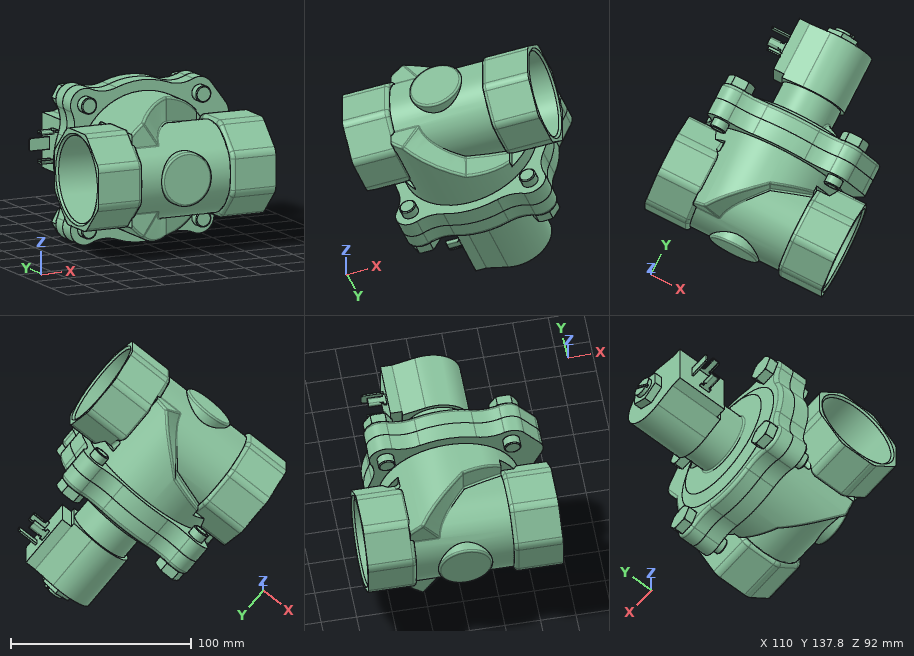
import cadquery as cq
import math


TOLERANCE = 0.04

PIPE_LENGTH = 110.0
PIPE_RADIUS = 26.2
END_FLATS = 55.1
END_INNER_X = 27.5
END_CORNER_RADIUS = 6.2
END_BACK_FILLET = 2.2
PORT_RADIUS = 24.7
PORT_CHAMFER = 1.2
PORT_DEPTH = 31.7

BOWL_RADIUS = 39.8
BOWL_BOTTOM_Y = -18.3
BOWL_LEFT_X = -29.6
BOWL_RIGHT_X = 27.5
BOWL_STEP_Y = 20.7
BOWL_FILLET = 1.2
SLOPE_PIPE_FILLET = 0.8
SLOPE_PIPE_EDGE_LENGTH = 13.8
BOWL_END_FILLET = 2.2
SLOPE_BEND_X, SLOPE_BEND_Y = 4.8, 8.3
SLOPE_END_Y = 17.1
SLOPE_LEAN = 0.7

BOSS_RADIUS = 15.3
BOSS_FILLET = 1.1

FLANGE_BOTTOM_Y = 28.4
JOINT_Y = 38.2
COVER_TOP_Y = 48.2
COVER_FILLET = 2.0
RIM_RADIUS = 46.0
LOBE_RADIUS = 9.1
LOBE_OFFSET = 35.4
WAIST_RADIUS = 20.7
EAR_CENTER = (44.5, 23.1)
EAR_BLEND_ANGLE = math.radians(5)

DOME_BASE_RADIUS = 40.0
DOME_TOP_RADIUS = 33.0
DOME_TOP_Y = 51.5
NECK_RADIUS = 18.0
NECK_TOP_Y = 68.9
TUBE_RADIUS = 3.9
TUBE_AZIMUTH = math.radians(25)
TUBE_DROP = 0.47
TUBE_START, TUBE_START_Y = 12.4, 56.2
TUBE_END = 38.6
TUBE_FILLET = 1.0

BOLT_DIAMETER = 9.4
BOLT_TIP_Y = 23.0
BOLT_HEAD_HEIGHT = 5.6
BOLT_HEAD_CORNERS = 16.7
BOLT_CHAMFER = 0.5

COIL_RADIUS = 20.3
COIL_FLANK_ANGLE = math.radians(106)
COIL_TOP_Y = 103.2
COIL_FRONT_X = -18.5
BLOCK_FRONT_X = -25.0
BLOCK_BOTTOM_Y = 71.2
GROUND_TIP_X = -37.5
GROUND_Y = 94.1
GROUND_WIDTH = 7.2
GROUND_CHAMFER = 1.0
BLADE_THICKNESS = 1.1
TERMINAL_TIP_X = -35.1
TERMINAL_Y = 85.7
TERMINAL_Z = 8.8
TERMINAL_WIDTH = 5.4
TERMINAL_ROOT_WIDTH = 6.6
TERMINAL_ROOT_LENGTH = 1.7
TERMINAL_NECK_WIDTH = 3.9
TERMINAL_NECK_LENGTH = 1.0
TERMINAL_DEPTH = 2.0
TERMINAL_CHANNEL_WIDTH = 3.5
TERMINAL_CORNER_RADIUS = 1.2

NUT_FLATS = 18.0
NUT_TOP_Y = 107.9
STEM_RADIUS = 5.9
STEM_TOP_Y = 110.2
SLOT_WIDTH = 1.7
SLOT_DEPTH = 1.1

HEX_RATIO = math.cos(math.pi / 6)


def level(y):
    """Plane at height y whose local axes are X and Z, and whose negative normal is +Y."""
    return cq.Workplane("XZ", origin=(0, y, 0))


def disc(radius, y_low, y_high):
    return level(y_low).circle(radius).extrude(y_low - y_high)


def polar(center, radius, angle):
    return (center[0] + radius * math.cos(angle), center[1] + radius * math.sin(angle))


def angle_from(center, point):
    return math.atan2(point[1] - center[1], point[0] - center[0])


def minor_arc(sketch, center, radius, start, end):
    """Continue the sketch from start to end along the shorter arc."""
    chord_middle = ((start[0] + end[0]) / 2, (start[1] + end[1]) / 2)
    middle = polar(center, radius, angle_from(center, chord_middle))
    return sketch.threePointArc(middle, end)


def flange(y_low, y_high):
    """Round plate with four bolt lobes joined by concave waists, and an ear beside one lobe."""
    origin = (0, 0)
    lobe_distance = LOBE_OFFSET * math.sqrt(2)
    waist_distance = RIM_RADIUS + WAIST_RADIUS
    waist_lobe = LOBE_RADIUS + WAIST_RADIUS
    squares = waist_distance**2 + lobe_distance**2 - waist_lobe**2
    waist_angle = math.acos(squares / (2 * waist_distance * lobe_distance))

    blend = polar(origin, RIM_RADIUS, EAR_BLEND_ANGLE)
    blend_spread = math.acos(LOBE_RADIUS / math.dist(blend, EAR_CENTER))
    ear_start = polar(EAR_CENTER, LOBE_RADIUS, angle_from(EAR_CENTER, blend) + blend_spread)
    ear_lobe = (LOBE_OFFSET, LOBE_OFFSET)
    ear_normal = angle_from(ear_lobe, EAR_CENTER) + math.pi / 2
    ear_end = polar(EAR_CENTER, LOBE_RADIUS, ear_normal)

    sketch = level(y_low).moveTo(*blend).lineTo(*ear_start)
    sketch = minor_arc(sketch, EAR_CENTER, LOBE_RADIUS, ear_start, ear_end)
    lobe_start = polar(ear_lobe, LOBE_RADIUS, ear_normal)
    sketch = sketch.lineTo(*lobe_start)
    for index in range(4):
        direction = math.pi / 4 + index * math.pi / 2
        lobe = polar(origin, lobe_distance, direction)
        if index > 0:
            waist = polar(origin, waist_distance, direction - waist_angle)
            lobe_start = polar(lobe, LOBE_RADIUS, angle_from(lobe, waist))
            sketch = minor_arc(sketch, waist, WAIST_RADIUS, rim_end, lobe_start)
        waist = polar(origin, waist_distance, direction + waist_angle)
        lobe_end = polar(lobe, LOBE_RADIUS, angle_from(lobe, waist))
        rim_start = polar(origin, RIM_RADIUS, direction + waist_angle)
        sketch = minor_arc(sketch, lobe, LOBE_RADIUS, lobe_start, lobe_end)
        sketch = minor_arc(sketch, waist, WAIST_RADIUS, lobe_end, rim_start)
        rim_end = blend if index == 3 else polar(origin, RIM_RADIUS, direction + math.pi / 2 - waist_angle)
        sketch = minor_arc(sketch, origin, RIM_RADIUS, rim_start, rim_end)
    return sketch.close().extrude(y_low - y_high)


def bolt_places():
    return [(sx * LOBE_OFFSET, sz * LOBE_OFFSET) for sx in (-1, 1) for sz in (-1, 1)]


def bolt_holes():
    holes = level(FLANGE_BOTTOM_Y).pushPoints(bolt_places()).circle(BOLT_DIAMETER / 2)
    return holes.extrude(FLANGE_BOTTOM_Y - COVER_TOP_Y)


def slope_cutter(side):
    """Space under the sloping bowl floor on one side (+1 or -1) of the XY plane.

    The slope is a ruled surface that twists from the leaning foot edge to the bend edge, which is
    parallel to Z. Its section on the XY plane is joined to one on an upright plane outside the bowl.
    """
    overshoot = 1.3
    floor_y = BOWL_BOTTOM_Y - 1.4
    end_x = BOWL_RIGHT_X + 1.4
    foot_z = overshoot * BOWL_RADIUS / math.hypot(1, SLOPE_LEAN)
    bend_z = overshoot * math.sqrt(BOWL_RADIUS**2 - SLOPE_BEND_X**2)
    foot_x = -SLOPE_LEAN * foot_z
    end_z = bend_z + (bend_z - foot_z) * (end_x - SLOPE_BEND_X) / (SLOPE_BEND_X - foot_x)

    def section(foot, bend, end):
        corners = [
            (foot[0], floor_y, foot[1]),
            (foot[0], BOWL_BOTTOM_Y, foot[1]),
            (bend[0], SLOPE_BEND_Y, bend[1]),
            (end[0], SLOPE_END_Y, end[1]),
            (end[0], floor_y, end[1]),
        ]
        return cq.Wire.makePolygon([cq.Vector(x, y, side * z) for x, y, z in corners], close=True)

    inner = section((0, 0), (SLOPE_BEND_X, 0), (end_x, 0))
    outer = section((foot_x, foot_z), (SLOPE_BEND_X, bend_z), (end_x, end_z))
    return cq.Workplane(cq.Solid.makeLoft([inner, outer], True))


def sample(edge):
    """Points near the start, at the middle and near the end of an edge."""
    return [edge.positionAt(share) for share in (0.1, 0.5, 0.9)]


def is_bowl_rim(edge):
    """Lower edges lying on the round side of the bowl."""
    points = sample(edge)
    on_side = all(abs(math.hypot(point.x, point.z) - BOWL_RADIUS) < TOLERANCE for point in points)
    below_step = points[1].y < BOWL_STEP_Y - TOLERANCE
    return on_side and below_step and edge.geomType() != "LINE"


def is_slope_crease(edge):
    """Edges at the foot and at the bend of each slope."""
    middle = edge.positionAt(0.5)
    if edge.geomType() == "LINE":
        return False
    at_foot = abs(middle.y - BOWL_BOTTOM_Y) < TOLERANCE and math.hypot(middle.x, middle.z) < BOWL_RADIUS - 1.4
    at_bend = abs(middle.y - SLOPE_BEND_Y) < TOLERANCE and abs(middle.x - SLOPE_BEND_X) < TOLERANCE
    return at_foot or at_bend


def is_slope_pipe_edge(edge):
    """Long curved edges where the slopes run into the pipe."""
    points = sample(edge)
    on_pipe = all(abs(math.hypot(point.y, point.z) - PIPE_RADIUS) < TOLERANCE for point in points)
    over_slope = points[1].x < BOWL_RIGHT_X - 1.4 and abs(points[1].z) > BOSS_RADIUS
    return on_pipe and over_slope and edge.geomType() != "LINE" and edge.Length() > SLOPE_PIPE_EDGE_LENGTH


def is_tube_edge(edge):
    """Curved edges at the foot of the neck and where the pilot tube enters it."""
    points = sample(edge)
    on_neck = all(abs(math.hypot(point.x, point.z) - NECK_RADIUS) < TOLERANCE for point in points)
    return on_neck and edge.geomType() != "LINE" and points[1].y < NECK_TOP_Y - 1.4


def make_bowl():
    bowl = disc(BOWL_RADIUS, BOWL_BOTTOM_Y, BOWL_STEP_Y)
    width = BOWL_RIGHT_X - BOWL_LEFT_X
    sides = cq.Workplane().box(width, 4 * BOWL_RADIUS, 2 * BOWL_RADIUS, centered=(False, True, True))
    bowl = bowl.intersect(sides.translate((BOWL_LEFT_X, 0, 0)))
    for side in (-1, 1):
        bowl = bowl.cut(slope_cutter(side))
    rounded = [edge for edge in bowl.edges().vals() if is_bowl_rim(edge) or is_slope_crease(edge)]
    bowl = bowl.newObject(rounded).fillet(BOWL_FILLET)
    return bowl.union(disc(BOWL_RADIUS, BOWL_STEP_Y, FLANGE_BOTTOM_Y))


def make_pipe_end(side):
    length = PIPE_LENGTH / 2 - END_INNER_X
    square = cq.Workplane("YZ").rect(END_FLATS, END_FLATS).extrude(length)
    end = square.intersect(square.rotate((0, 0, 0), (1, 0, 0), 45))
    end = end.edges("|X").fillet(END_CORNER_RADIUS)
    end = end.faces("<X").edges().fillet(END_BACK_FILLET).translate((END_INNER_X, 0, 0))
    return end if side > 0 else end.mirror("YZ")


def make_bowl_end_fillet(side):
    """Concave fillet between the left side of the bowl and an upper slanting flat of the pipe end."""
    flat_z = END_FLATS / 2
    radius = BOWL_END_FILLET
    corner = cq.Workplane("XZ", origin=(BOWL_LEFT_X, 0, flat_z)).rect(2 * radius, 2 * radius)
    corner = corner.extrude(END_FLATS / 2, both=True)
    bore = cq.Workplane("XZ", origin=(BOWL_LEFT_X - radius, 0, flat_z + radius)).circle(radius)
    corner = corner.cut(bore.extrude(END_FLATS / 2, both=True)).rotate((0, 0, 0), (1, 0, 0), -45)
    corner = corner.intersect(disc(BOWL_RADIUS, 0, BOWL_STEP_Y))
    return corner if side > 0 else corner.mirror("XY")


def make_port(side):
    port = cq.Workplane("YZ", origin=(PIPE_LENGTH / 2 - PORT_DEPTH, 0, 0)).circle(PORT_RADIUS)
    port = port.extrude(PORT_DEPTH)
    mouth = cq.Solid.makeCone(
        PORT_RADIUS, PORT_RADIUS + PORT_CHAMFER, PORT_CHAMFER,
        cq.Vector(PIPE_LENGTH / 2 - PORT_CHAMFER, 0, 0), cq.Vector(1, 0, 0),
    )
    port = port.union(cq.Workplane(mouth))
    return port if side > 0 else port.mirror("YZ")


def make_body():
    body = cq.Workplane("YZ", origin=(-END_INNER_X, 0, 0)).circle(PIPE_RADIUS).extrude(2 * END_INNER_X)
    body = body.union(make_bowl())
    boss = disc(BOSS_RADIUS, -END_FLATS / 2, 0).faces("<Y").edges().fillet(BOSS_FILLET)
    body = body.union(boss).union(flange(FLANGE_BOTTOM_Y, JOINT_Y))
    for side in (-1, 1):
        body = body.union(make_pipe_end(side))
        body = body.union(make_bowl_end_fillet(side))
    slope_pipe = [edge for edge in body.edges().vals() if is_slope_pipe_edge(edge)]
    body = body.newObject(slope_pipe).fillet(SLOPE_PIPE_FILLET)
    for side in (-1, 1):
        body = body.cut(make_port(side))
    return body.cut(bolt_holes())


def make_pilot_tube():
    across = (math.cos(TUBE_AZIMUTH), math.sin(TUBE_AZIMUTH))
    start = cq.Vector(TUBE_START * across[0], TUBE_START_Y, TUBE_START * across[1])
    run = TUBE_END - TUBE_START
    axis = cq.Vector(run * across[0], -run * TUBE_DROP, run * across[1])
    return cq.Workplane(cq.Solid.makeCylinder(TUBE_RADIUS, axis.Length, start, axis))


def make_cover():
    cover = flange(JOINT_Y, COVER_TOP_Y).faces(">Y").edges().fillet(COVER_FILLET)
    dome = cq.Solid.makeCone(
        DOME_BASE_RADIUS, DOME_TOP_RADIUS, DOME_TOP_Y - COVER_TOP_Y,
        cq.Vector(0, COVER_TOP_Y, 0), cq.Vector(0, 1, 0),
    )
    neck = disc(NECK_RADIUS, COVER_TOP_Y, NECK_TOP_Y)
    cover = cover.union(cq.Workplane(dome)).union(neck).union(make_pilot_tube())
    tube_edges = [edge for edge in cover.edges().vals() if is_tube_edge(edge)]
    cover = cover.newObject(tube_edges).fillet(TUBE_FILLET)
    return cover.cut(bolt_holes())


def make_bolt(x, z):
    head = level(COVER_TOP_Y).polygon(6, BOLT_HEAD_CORNERS).extrude(-BOLT_HEAD_HEIGHT)
    rounding = disc(BOLT_HEAD_CORNERS / 2, COVER_TOP_Y, COVER_TOP_Y + BOLT_HEAD_HEIGHT)
    head = head.intersect(rounding.faces(">Y").edges().chamfer(BOLT_CHAMFER))
    shank = disc(BOLT_DIAMETER / 2, BOLT_TIP_Y, COVER_TOP_Y).faces("<Y").edges().chamfer(BOLT_CHAMFER)
    return head.union(shank).translate((x, 0, z))


def make_terminal(side):
    """Flat blade with a wide root and a narrow neck, its long edges folded towards the XY plane."""
    root_x = BLOCK_FRONT_X - TERMINAL_ROOT_LENGTH
    fold_x = root_x - TERMINAL_NECK_LENGTH
    plate_z = TERMINAL_Z - BLADE_THICKNESS / 2
    plane = cq.Workplane("XY", origin=(0, TERMINAL_Y, plate_z))
    root = plane.rect(2 * TERMINAL_ROOT_LENGTH, TERMINAL_ROOT_WIDTH).extrude(BLADE_THICKNESS)
    root = root.translate((BLOCK_FRONT_X, 0, 0))
    neck = plane.rect(4 * TERMINAL_NECK_LENGTH, TERMINAL_NECK_WIDTH).extrude(BLADE_THICKNESS)
    neck = neck.translate((root_x, 0, 0))
    outer_z = plate_z + BLADE_THICKNESS
    section = cq.Workplane("YZ", origin=(TERMINAL_TIP_X, TERMINAL_Y, outer_z - TERMINAL_DEPTH / 2))
    fold = section.rect(TERMINAL_WIDTH, TERMINAL_DEPTH).extrude(fold_x - TERMINAL_TIP_X)
    fold = fold.edges("|X and >Z").fillet(TERMINAL_CORNER_RADIUS)
    channel = section.center(0, -BLADE_THICKNESS).rect(TERMINAL_CHANNEL_WIDTH, TERMINAL_DEPTH)
    fold = fold.cut(channel.extrude(fold_x - TERMINAL_TIP_X))
    terminal = root.union(neck).union(fold)
    return terminal if side > 0 else terminal.mirror("XY")


def make_coil():
    tangent = polar((0, 0), COIL_RADIUS, COIL_FLANK_ANGLE)
    front_z = tangent[1] - (tangent[0] - COIL_FRONT_X) / math.tan(math.pi - COIL_FLANK_ANGLE)
    winding = (
        level(NECK_TOP_Y)
        .moveTo(COIL_FRONT_X, -front_z)
        .lineTo(tangent[0], -tangent[1])
        .threePointArc((COIL_RADIUS, 0), tangent)
        .lineTo(COIL_FRONT_X, front_z)
        .close()
        .extrude(NECK_TOP_Y - COIL_TOP_Y)
    )
    block_depth = COIL_FRONT_X - BLOCK_FRONT_X
    block = level(BLOCK_BOTTOM_Y).center(BLOCK_FRONT_X + block_depth / 2, 0).rect(block_depth, 2 * front_z)
    coil = winding.union(block.extrude(BLOCK_BOTTOM_Y - COIL_TOP_Y))

    ground_length = BLOCK_FRONT_X - GROUND_TIP_X
    ground = cq.Workplane().box(ground_length, BLADE_THICKNESS, GROUND_WIDTH, centered=(False, True, True))
    ground = ground.edges("|Y and <X").chamfer(GROUND_CHAMFER)
    coil = coil.union(ground.translate((GROUND_TIP_X, GROUND_Y, 0)))
    for side in (-1, 1):
        coil = coil.union(make_terminal(side))
    return coil.cut(disc(STEM_RADIUS, NECK_TOP_Y, COIL_TOP_Y))


def make_nut():
    nut = level(COIL_TOP_Y).polygon(6, NUT_FLATS / HEX_RATIO).extrude(COIL_TOP_Y - NUT_TOP_Y)
    nut = nut.rotate((0, 0, 0), (0, 1, 0), 30)
    return nut.cut(disc(STEM_RADIUS, COIL_TOP_Y, NUT_TOP_Y))


def make_stem():
    stem = disc(STEM_RADIUS, NECK_TOP_Y, STEM_TOP_Y)
    slot = level(STEM_TOP_Y - SLOT_DEPTH).rect(3 * STEM_RADIUS, SLOT_WIDTH).extrude(-SLOT_DEPTH)
    return stem.cut(slot.rotate((0, 0, 0), (0, 1, 0), -45))


body = make_body()
cover = make_cover()
bolts = [make_bolt(x, z) for x, z in bolt_places()]
coil = make_coil()
nut = make_nut()
stem = make_stem()

bodies = [body, cover, *bolts, coil, nut, stem]

result = cq.Compound.makeCompound([part.solids().val() for part in bodies])